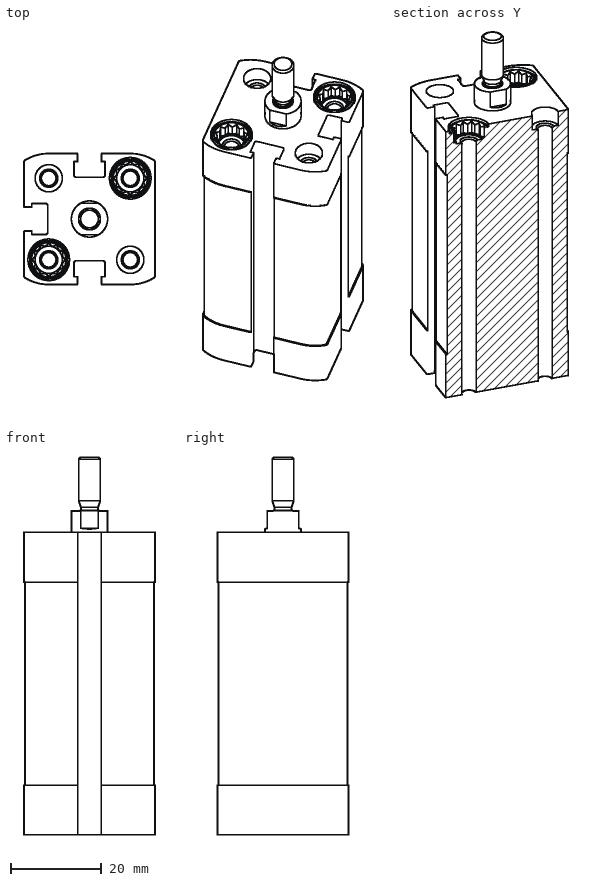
import cadquery as cq
import math

width = 29.0
half_width = width / 2
housing_length = 66.85
cap_length = 11.0
tube_inset = 0.25
tube_length = housing_length - 2 * cap_length

hole_offset = 9.0
corner_radius = 10.0
corner_edge_fillet = 0.75

slot_mouth = 5.25
slot_width = 6.8
slot_floor_distance = 9.25
lip_thickness = 1.8
lip_fillet = 0.25
slot_floor_fillet = 0.4

thread_core_diameter = 3.24
thread_mouth_diameter = 3.97
thread_chamfer = (thread_mouth_diameter - thread_core_diameter) / 2
counterbore_diameter = 6.0
counterbore_depth = 3.5

recess_diameter = 9.2
recess_depth = 0.7
head_diameter = 8.5
head_sink = 0.2
head_chamfer = 0.35
head_height = recess_depth - head_sink
socket_depth = 3.2
socket_points = 12
socket_outer_radius = 3.6
socket_inner_radius = 3.1
socket_mouth_radius = 3.8
socket_mouth_chamfer = 0.9

rod_diameter = 8.0
collar_height = 4.7
flat_width = 7.05
flat_start = 0.9
flat_runout = 0.2
neck_top_height = 5.75
neck_diameter = 4.0
groove_diameter = 3.8
groove_bevel = 0.25
neck_foot_diameter = 4.5
neck_foot_height = 0.2
stud_diameter = 4.83
stud_bottom_height = 6.9
stud_taper_diameter = 4.15
stud_taper_length = 0.9
stud_tip_chamfer = 0.45
overall_length = 83.45
rod_length = overall_length - housing_length


def outer_block(inset):
    """Prism of the outer section, with all its faces moved inward by `inset`."""
    side = half_width - inset
    radius = corner_radius - inset
    arc_run = side - hole_offset
    arc_center = half_width - corner_radius
    arc_end = arc_center + math.sqrt(radius**2 - arc_run**2)
    half_sweep = math.asin(arc_run / radius) / 2
    mid_x = hole_offset + radius * math.sin(half_sweep)
    mid_y = arc_center + radius * math.cos(half_sweep)
    return (
        cq.Workplane("XY")
        .moveTo(-hole_offset, side)
        .lineTo(hole_offset, side)
        .threePointArc((mid_x, mid_y), (side, arc_end))
        .lineTo(side, -arc_end)
        .threePointArc((mid_x, -mid_y), (hole_offset, -side))
        .lineTo(-hole_offset, -side)
        .threePointArc((-mid_x, -mid_y), (-side, -arc_end))
        .lineTo(-side, arc_end)
        .threePointArc((-mid_x, mid_y), (-hole_offset, side))
        .close()
        .extrude(housing_length)
        .faces("<X or >X")
        .edges("|Z")
        .fillet(corner_edge_fillet)
    )


def slot_cutter(angle):
    """T-slot opening toward +X, turned by `angle` degrees about Z."""
    lip_inner = half_width - lip_thickness
    undercut = (
        cq.Workplane("XY")
        .center((slot_floor_distance + lip_inner) / 2, 0)
        .rect(lip_inner - slot_floor_distance, slot_width)
        .extrude(housing_length)
        .edges("|Z and <X")
        .fillet(slot_floor_fillet)
    )
    half_mouth = slot_mouth / 2
    flare = half_mouth + lip_fillet
    fillet_start = half_width - lip_fillet
    mouth = (
        cq.Workplane("XY")
        .moveTo(slot_floor_distance + slot_floor_fillet, -half_mouth)
        .lineTo(fillet_start, -half_mouth)
        .radiusArc((half_width, -flare), lip_fillet)
        .lineTo(half_width, flare)
        .radiusArc((fillet_start, half_mouth), lip_fillet)
        .lineTo(slot_floor_distance + slot_floor_fillet, half_mouth)
        .close()
        .extrude(housing_length)
    )
    return undercut.union(mouth).rotate((0, 0, 0), (0, 0, 1), angle)


def stepped_bore():
    """Counterbored through hole, chamfered where the bore meets the counterbore floor."""
    core_radius = thread_core_diameter / 2
    mouth_radius = counterbore_diameter / 2
    floor = housing_length - counterbore_depth
    return (
        cq.Workplane("XZ")
        .moveTo(0, 0)
        .lineTo(core_radius, 0)
        .lineTo(core_radius, floor - thread_chamfer)
        .lineTo(core_radius + thread_chamfer, floor)
        .lineTo(mouth_radius, floor)
        .lineTo(mouth_radius, housing_length)
        .lineTo(0, housing_length)
        .close()
        .revolve()
    )


def screw_recess():
    """Annular recess that leaves a chamfered screw head standing in it."""
    floor = housing_length - recess_depth
    recess = cq.Workplane("XY", origin=(0, 0, floor)).circle(recess_diameter / 2).extrude(recess_depth)
    head = (
        cq.Workplane("XY", origin=(0, 0, floor))
        .circle(head_diameter / 2)
        .extrude(head_height)
        .faces(">Z")
        .chamfer(head_chamfer)
    )
    return recess.cut(head)


def socket():
    """Twelve-pointed socket with a conical mouth, sunk into a screw head."""
    floor = housing_length - socket_depth
    top = housing_length - head_sink
    outline = []
    for i in range(2 * socket_points):
        radius = socket_inner_radius if i % 2 else socket_outer_radius
        angle = math.pi * i / socket_points
        outline.append((radius * math.cos(angle), radius * math.sin(angle)))
    star = cq.Workplane("XY", origin=(0, 0, floor)).polyline(outline).close().extrude(top - floor)
    mouth = cq.Workplane(
        cq.Solid.makeCone(
            socket_mouth_radius - socket_mouth_chamfer,
            socket_mouth_radius,
            socket_mouth_chamfer,
            pnt=cq.Vector(0, 0, top - socket_mouth_chamfer),
        )
    )
    return star.union(mouth)


def make_housing():
    """Capped tube with T-slots on three sides and its corner holes and screw heads."""
    body = outer_block(0)
    tube_zone = cq.Workplane("XY", origin=(0, 0, cap_length)).rect(2 * width, 2 * width).extrude(tube_length)
    tube = outer_block(tube_inset)
    body = body.cut(tube_zone.cut(tube))
    for angle in (90, 180, 270):
        body = body.cut(slot_cutter(angle))
    for x_side in (1, -1):
        for y_side in (1, -1):
            position = (x_side * hole_offset, y_side * hole_offset, 0)
            body = body.cut(stepped_bore().translate(position))
            if x_side == y_side:
                body = body.cut(screw_recess().translate(position))
                body = body.cut(socket().translate(position))
    return body


def flat_cutter():
    """Material removed on the +Y side of the collar, sloping outward at its lower end."""
    flat = flat_width / 2
    edge = rod_diameter / 2
    return (
        cq.Workplane("YZ")
        .moveTo(flat, flat_start)
        .lineTo(edge, flat_start - flat_runout)
        .lineTo(edge, collar_height)
        .lineTo(flat, collar_height)
        .close()
        .extrude(edge, both=True)
    )


def make_rod():
    """Turned rod standing on the end face of the housing."""
    tip_radius = stud_diameter / 2 - stud_tip_chamfer
    rod = (
        cq.Workplane("XZ")
        .moveTo(0, 0)
        .lineTo(rod_diameter / 2, 0)
        .lineTo(rod_diameter / 2, collar_height)
        .lineTo(neck_foot_diameter / 2, collar_height)
        .lineTo(groove_diameter / 2, collar_height + neck_foot_height)
        .lineTo(groove_diameter / 2, neck_top_height - groove_bevel)
        .lineTo(neck_diameter / 2, neck_top_height)
        .lineTo(stud_taper_diameter / 2, stud_bottom_height - stud_taper_length)
        .lineTo(stud_diameter / 2, stud_bottom_height)
        .lineTo(stud_diameter / 2, rod_length - stud_tip_chamfer)
        .lineTo(tip_radius, rod_length)
        .lineTo(0, rod_length)
        .close()
        .revolve()
    )
    for angle in (0, 180):
        rod = rod.cut(flat_cutter().rotate((0, 0, 0), (0, 0, 1), angle))
    return rod.translate((0, 0, housing_length))


housing = make_housing()
rod = make_rod()
result = cq.Compound.makeCompound([housing.val(), rod.val()])